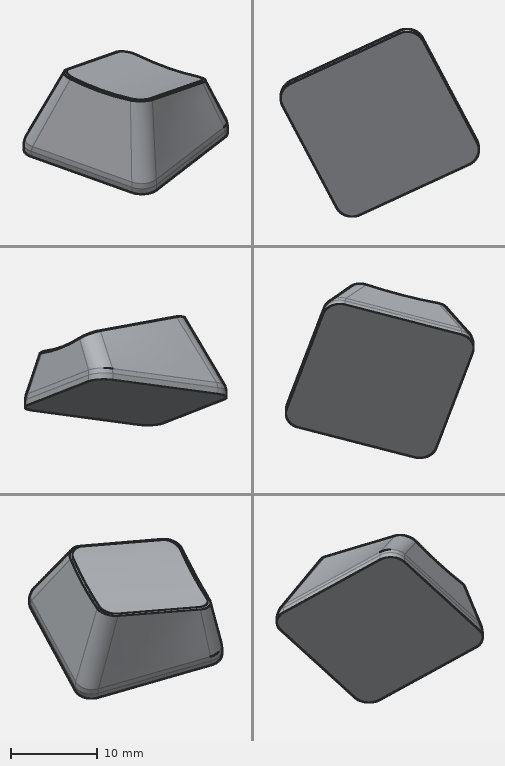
import cadquery as cq
import math

base_size = 18.16
base_corner_radius = 2.03
skirt_height = 0.75

bend_height = 0.62
bend_inset_side = 0.1
bend_inset_front = 0.13
bend_inset_back = 0.04

rim_width = 11.84
rim_front_y = -5.03
rim_back_y = 8.7
rim_corner_radius = 1.85
rim_mid_height = 8.05
rim_tilt = 15.7

dish_radius = 36.32
dish_depth = 0.5
dish_length = 2 * base_size

edge_band_inset = 0.2
edge_band_drop = 0.16

rim_mid_y = (rim_front_y + rim_back_y) / 2
rim_length = (rim_back_y - rim_front_y) / math.cos(math.radians(rim_tilt))
rim_plane = cq.Plane(
    origin=(0, rim_mid_y, rim_mid_height),
    xDir=(1, 0, 0),
    normal=(0, math.sin(math.radians(rim_tilt)), math.cos(math.radians(rim_tilt))),
)
rim_centre = cq.selectors.NearestToPointSelector(rim_plane.origin.toTuple())


def rounded_rectangle(width, length, radius):
    """Sketch of a rounded rectangle centred on its origin."""
    return cq.Sketch().rect(width, length).vertices().fillet(radius)


def make_skirt():
    """Straight-sided band around the foot of the cap."""
    outline = rounded_rectangle(base_size, base_size, base_corner_radius)
    return cq.Workplane("XY").placeSketch(outline).extrude(skirt_height)


def make_walls():
    """Bend and sloping walls, ruled from the skirt up to the tilted rim."""
    foot = rounded_rectangle(base_size, base_size, base_corner_radius)
    foot = foot.moved(cq.Location(cq.Vector(0, 0, skirt_height)))

    bend_width = base_size - 2 * bend_inset_side
    bend_length = base_size - bend_inset_front - bend_inset_back
    bend_mid_y = (bend_inset_front - bend_inset_back) / 2
    bend = rounded_rectangle(bend_width, bend_length, base_corner_radius)
    bend = bend.moved(cq.Location(cq.Vector(0, bend_mid_y, skirt_height + bend_height)))

    rim = rounded_rectangle(rim_width, rim_length, rim_corner_radius)
    rim = rim.moved(cq.Location(rim_plane))
    return cq.Workplane("XY").placeSketch(foot, bend, rim).loft(ruled=True)


def make_dish(depth):
    """Cylinder whose lowest line sits the given depth below the rim plane."""
    axis_start = rim_plane.toWorldCoords((0, -dish_length / 2, dish_radius - depth))
    return cq.Workplane(cq.Solid.makeCylinder(dish_radius, dish_length, axis_start, rim_plane.yDir))


def make_dish_floor():
    """Curved floor of the dish, inset from the rim, as a single face."""
    outline = rounded_rectangle(
        rim_width - 2 * edge_band_inset,
        rim_length - 2 * edge_band_inset,
        rim_corner_radius - edge_band_inset,
    )
    block = cq.Workplane(rim_plane).placeSketch(outline).extrude(-rim_mid_height)
    return block.cut(make_dish(dish_depth)).faces("%CYLINDER").faces(rim_centre).val()


def add_edge_band(body):
    """Replace the top face of the body with a sloping band and the dish floor."""
    top = body.faces(rim_centre).val()
    floor = make_dish_floor()
    walls = [face for face in body.faces().vals() if not face.isSame(top)]
    band = []
    for outer_edge in top.Edges():
        inner_edge = min(floor.Edges(), key=lambda edge: (edge.Center() - outer_edge.Center()).Length)
        band.append(cq.Face.makeRuledSurface(outer_edge, inner_edge))
    shell = cq.Shell.makeShell(walls + band + [floor])
    return cq.Workplane(cq.Solid.makeSolid(shell).fix())


blank = make_skirt().union(make_walls())
result = add_edge_band(blank.cut(make_dish(dish_depth + edge_band_drop)))